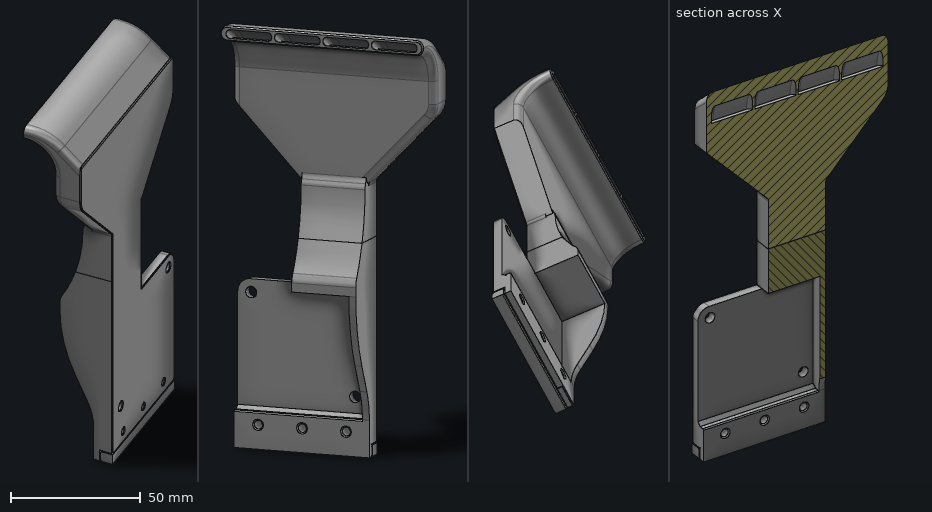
import cadquery as cq
import math


total_height = 170.0
back_x = 25.0
cover_thickness = 0.5
cover_inset = 0.5
body_back_x = back_x - cover_thickness
split_z = 86.5

head_half_width = 42.0
head_corner_z = 138.7
head_corner_radius = 8.7
head_bottom_z = 108.8
head_front_x = 13.3
bend_radius = 12.5
bend_z = 151.3
bend_x = head_front_x - bend_radius
crown_radius = 21.2
crown_x = 2.9
crown_angle = math.radians(41)
edge_radius = 2.9
tip_chamfer = 0.5

slot_count = 4
slot_height = 3.4
slot_length = 18.9
slot_pitch = 20.0
slot_z = 166.7

neck_half_width = 13.3
neck_x = 12.2
neck_top_z = 106.9
neck_flare_radius = 2.2
step_radius = 5.5
step_angle = math.acos(1 - (head_front_x - neck_x) / (2 * step_radius))
step_top_z = neck_top_z + 2 * step_radius * math.sin(step_angle)
belly_radius = 66.1
crest_radius = 7.1
upper_belly_angle = math.radians(30)
lower_belly_angle = math.radians(25.5)

base_max_y = 42.8
base_bottom_z = 0.5
plate_front_x = 20.7
plate_top_z = 66.6
plate_corner_radius = 5.1
side_wall = 2.9
strip_front_x = 16.8
strip_top_z = 15.3
strip_edge_chamfer = 0.5
ledge_back_x = 19.2
toe_x = (17.3, 19.4)
toe_y = (-12.7, -3.4)

plate_hole_diameter = 4.5
plate_holes = [(37.2, 61.4), (-5.8, 23.3)]
strip_hole_diameter = 3.4
strip_hole_chamfer = 0.5
strip_hole_count = 3
strip_hole_pitch = 18.2
strip_hole_z = 10.2
first_strip_hole_y = -3.5
strip_holes = [(first_strip_hole_y + i * strip_hole_pitch, strip_hole_z) for i in range(strip_hole_count)]

rebate_front_x = 19.4
rebate_top_z = 5.6
bar_gap = 0.5
bar_chamfer = 0.5


def box(x_range, y_range, z_range):
    """Box between two X, two Y and two Z planes."""
    corner = (x_range[0], y_range[0], z_range[0])
    lengths = [limits[1] - limits[0] for limits in (x_range, y_range, z_range)]
    return cq.Workplane("XY").box(*lengths, centered=False).translate(corner)


def add_arc(outline, start, radius, start_angle, end_angle, side):
    """Add a downward arc and return its end; angles are from vertical, side is +1 or -1 along X."""
    ends = []
    for angle in ((start_angle + end_angle) / 2, end_angle):
        across = radius * abs(math.cos(start_angle) - math.cos(angle))
        down = radius * abs(math.sin(start_angle) - math.sin(angle))
        ends.append((start[0] + side * across, start[1] - down))
    return outline.threePointArc(*ends), ends[-1]


def duct_solid():
    """Neck, belly and foot in one piece, over the width of the neck."""
    point = (head_front_x, step_top_z)
    outline = cq.Workplane("XZ").moveTo(body_back_x, step_top_z).lineTo(*point)
    outline, point = add_arc(outline, point, step_radius, 0, step_angle, -1)
    outline, point = add_arc(outline, point, step_radius, step_angle, 0, -1)
    outline, point = add_arc(outline, point, belly_radius, 0, upper_belly_angle, -1)
    outline, point = add_arc(outline, point, crest_radius, upper_belly_angle, 0, -1)
    point = (point[0], plate_top_z)
    outline = outline.lineTo(*point)
    outline, point = add_arc(outline, point, belly_radius, 0, lower_belly_angle, 1)

    meeting_z = point[1] - (strip_front_x - point[0]) / math.tan(lower_belly_angle)
    tangent_length = meeting_z - strip_top_z
    foot_radius = tangent_length / math.tan(lower_belly_angle / 2)
    point = (
        strip_front_x - tangent_length * math.sin(lower_belly_angle),
        meeting_z + tangent_length * math.cos(lower_belly_angle),
    )
    outline = outline.lineTo(*point)
    outline, point = add_arc(outline, point, foot_radius, lower_belly_angle, 0, 1)
    outline = outline.lineTo(strip_front_x, base_bottom_z).lineTo(body_back_x, base_bottom_z).close()
    return outline.extrude(neck_half_width, both=True)


def crown_point(angle):
    """Point (X, Z) on the crown arc at an angle behind its highest line."""
    return (
        crown_x + crown_radius * math.sin(angle),
        total_height - crown_radius + crown_radius * math.cos(angle),
    )


crown_end = crown_point(crown_angle)
tip_angle = -math.asin(crown_x / crown_radius)
tip_bottom_z = bend_z + math.sqrt(bend_radius**2 - bend_x**2)


def roof_z(x):
    """Height of the straight roof behind the crown."""
    return crown_end[1] - (x - crown_end[0]) * math.tan(crown_angle)


def head_side_solid(rear_x):
    """Side profile of the head up to a rear plane, over the full head width."""
    half = math.sqrt(0.5)
    return (
        cq.Workplane("XZ")
        .moveTo(*crown_point(tip_angle))
        .threePointArc(crown_point((tip_angle + crown_angle) / 2), crown_end)
        .lineTo(rear_x, roof_z(rear_x))
        .lineTo(rear_x, head_bottom_z)
        .lineTo(head_front_x, head_bottom_z)
        .lineTo(head_front_x, bend_z)
        .threePointArc((bend_x + bend_radius * half, bend_z + bend_radius * half), (0, tip_bottom_z))
        .close()
        .extrude(head_half_width, both=True)
    )


def head_front_solid(inset):
    """Front outline of the head, narrowed by an inset on both sides, over the full depth."""
    neck_y = neck_half_width - inset
    side_y = head_half_width - inset
    corner_zone = cq.selectors.BoxSelector(
        (-back_x, -head_half_width, head_bottom_z + 1.7), (back_x, head_half_width, total_height - 1.7)
    )
    return (
        cq.Workplane("YZ")
        .moveTo(-neck_y, head_bottom_z)
        .lineTo(neck_y, head_bottom_z)
        .lineTo(side_y, head_corner_z)
        .lineTo(side_y, total_height)
        .lineTo(-side_y, total_height)
        .lineTo(-side_y, head_corner_z)
        .close()
        .extrude(back_x)
        .edges("|X")
        .edges(corner_zone)
        .fillet(head_corner_radius)
    )


def edges_nearest(solid, points):
    """The edge of the solid nearest to each point."""
    edges = solid.edges().vals()
    nearest = [min(edges, key=cq.Vertex.makeVertex(*point).distance) for point in points]
    return solid.newObject(nearest)


def nozzle_head():
    """Head with rounded side edges and a chamfered tip."""
    head = head_side_solid(body_back_x).intersect(head_front_solid(0))
    side_z = (head_corner_z + head_corner_radius + bend_z) / 2
    roof_x = (crown_end[0] + body_back_x) / 2
    seeds = []
    for y in (-head_half_width, head_half_width):
        seeds.append((head_front_x, y, side_z))
        seeds.append((roof_x, y, roof_z(roof_x)))
    head = edges_nearest(head, seeds).fillet(edge_radius)
    return head.faces("<X").edges().chamfer(tip_chamfer)


def outlet_channel(y):
    """A slot that enters at the tip and follows the bend for a quarter turn."""
    axis_z = bend_z - slot_z
    mouth = cq.Workplane("YZ", origin=(bend_x, y, slot_z))
    straight = mouth.slot2D(slot_length, slot_height).extrude(-bend_x)
    bend = mouth.slot2D(slot_length, slot_height).revolve(90, (0, axis_z), (1, axis_z))
    return straight.union(bend)


def neck_flare(side):
    """Concave fillet where a head slope runs into the side of the neck; side is +1 or -1 along Y."""
    slope = math.atan2(head_half_width - neck_half_width, head_corner_z - head_bottom_z)
    tangent_length = neck_flare_radius * math.tan(slope / 2)
    center_y = neck_half_width + neck_flare_radius
    lower_z = head_bottom_z - tangent_length

    def on_arc(angle):
        return (
            side * (center_y - neck_flare_radius * math.cos(angle)),
            lower_z + neck_flare_radius * math.sin(angle),
        )

    inner_y = side * (neck_half_width - tangent_length)
    return (
        cq.Workplane("YZ", origin=(head_front_x + edge_radius, 0, 0))
        .moveTo(*on_arc(0))
        .threePointArc(on_arc(slope / 2), on_arc(slope))
        .lineTo(inner_y, on_arc(slope)[1])
        .lineTo(inner_y, lower_z)
        .close()
        .extrude(body_back_x - head_front_x - edge_radius)
    )


def make_nozzle(duct):
    y_range = (-head_half_width, head_half_width)
    neck = duct.intersect(box((0, back_x), y_range, (split_z, total_height)))
    body = nozzle_head().union(neck)
    for side in (-1, 1):
        body = body.union(neck_flare(side))
    for i in range(slot_count):
        body = body.cut(outlet_channel((i - (slot_count - 1) / 2) * slot_pitch))
    return body


def drill(body, points, diameter):
    """Holes along X through the whole depth."""
    return body.cut(cq.Workplane("YZ").pushPoints(points).circle(diameter / 2).extrude(back_x))


def plate_solid(x_range, inset):
    """The wide back plate, with its one rounded corner."""
    y_range = (-neck_half_width + inset, base_max_y - inset)
    plate = box(x_range, y_range, (base_bottom_z, plate_top_z))
    return plate.edges("|X and >Y and >Z").fillet(plate_corner_radius)


def strip_solid():
    """Thick strip along the bottom, with a ledge and a slope leading back to the plate."""
    return (
        cq.Workplane("XZ", origin=(0, base_max_y, 0))
        .moveTo(strip_front_x, base_bottom_z)
        .lineTo(strip_front_x, strip_top_z - strip_edge_chamfer)
        .lineTo(strip_front_x + strip_edge_chamfer, strip_top_z)
        .lineTo(ledge_back_x, strip_top_z)
        .lineTo(plate_front_x, strip_top_z + plate_front_x - ledge_back_x)
        .lineTo(plate_front_x, base_bottom_z)
        .close()
        .extrude(base_max_y + neck_half_width)
    )


def make_base(duct):
    full_y = (-neck_half_width, base_max_y)
    body = duct.intersect(box((0, back_x), full_y, (0, split_z)))
    pocket_y = (-neck_half_width + side_wall, base_max_y)
    body = body.cut(box((0, plate_front_x), pocket_y, (base_bottom_z, plate_top_z)))
    body = body.union(plate_solid((plate_front_x, body_back_x), 0)).union(strip_solid())
    body = body.union(box(toe_x, toe_y, (0, base_bottom_z)))
    body = body.cut(box((rebate_front_x, back_x), full_y, (0, rebate_top_z)))
    body = drill(body, plate_holes, plate_hole_diameter)
    body = drill(body, strip_holes, strip_hole_diameter)
    hole_radius = strip_hole_diameter / 2
    for y, z in strip_holes:
        mouth = cq.Solid.makeCone(
            hole_radius + strip_hole_chamfer,
            hole_radius,
            strip_hole_chamfer,
            pnt=cq.Vector(strip_front_x, y, z),
            dir=cq.Vector(1, 0, 0),
        )
        body = body.cut(cq.Workplane(mouth))
    return body


def make_cover():
    x_range = (body_back_x, back_x)
    width = (-neck_half_width + cover_inset, neck_half_width - cover_inset)
    slab = box(x_range, (-head_half_width, head_half_width), (0, total_height))
    cover = head_side_solid(back_x).intersect(head_front_solid(cover_inset)).intersect(slab)
    cover = cover.union(box(x_range, width, (rebate_top_z, head_bottom_z)))
    cover = cover.union(plate_solid(x_range, cover_inset))
    cover = cover.cut(box(x_range, (-neck_half_width, base_max_y), (0, rebate_top_z)))
    cover = drill(cover, plate_holes, plate_hole_diameter)
    return drill(cover, strip_holes, strip_hole_diameter)


def make_bar():
    bar = box(
        (rebate_front_x + bar_gap, back_x),
        (-neck_half_width, base_max_y),
        (base_bottom_z, rebate_top_z - bar_gap),
    )
    return bar.edges("|Y and <X").chamfer(bar_chamfer)


duct = duct_solid()
nozzle = make_nozzle(duct)
base = make_base(duct)
cover = make_cover()
bar = make_bar()
result = cq.Compound.makeCompound([nozzle.val(), base.val(), cover.val(), bar.val()])